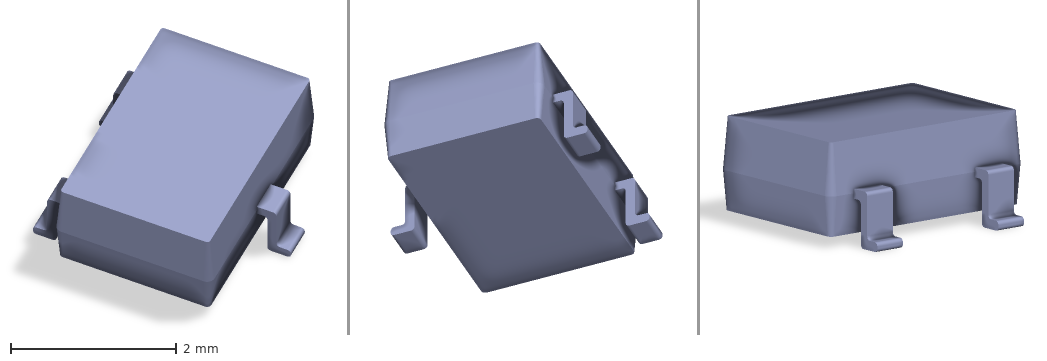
import cadquery as cq

BODY_WIDTH = 2.1
BODY_LENGTH = 3.04
BODY_BOTTOM = 0.152
PARTING_HEIGHT = 0.66
BODY_TOP = 1.32
DRAFT_ANGLE = 5.0
CORNER_RADIUS = 0.1

LEAD_SPAN = 3.0
LEAD_THICKNESS = 0.122
LEAD_WIDTH = 0.4
LEAD_PITCH = 1.9
LEAD_TOP = 0.715
FOOT_LENGTH = 0.19
BEND_RADIUS = 0.05
LEAD_EMBED = 0.06


def body_half(height):
    """Half of the body, tapering from the parting plane; negative height goes down."""
    outline = cq.Sketch().rect(BODY_WIDTH, BODY_LENGTH).vertices().fillet(CORNER_RADIUS)
    return (
        cq.Workplane("XY")
        .workplane(offset=PARTING_HEIGHT)
        .placeSketch(outline)
        .extrude(height, taper=DRAFT_ANGLE)
    )


def lead(side, y_center):
    """One bent lead; side is -1 for the -X side of the body and +1 for the +X side."""
    toe = LEAD_SPAN / 2
    leg_outer = toe - FOOT_LENGTH
    leg_inner = leg_outer - LEAD_THICKNESS
    root = BODY_WIDTH / 2 - LEAD_EMBED
    shoulder_bottom = LEAD_TOP - LEAD_THICKNESS

    profile = [
        (root, LEAD_TOP),
        (leg_outer, LEAD_TOP),
        (leg_outer, LEAD_THICKNESS),
        (toe, LEAD_THICKNESS),
        (toe, 0),
        (leg_inner, 0),
        (leg_inner, shoulder_bottom),
        (root, shoulder_bottom),
    ]
    strip = (
        cq.Workplane("XZ", origin=(0, y_center, 0))
        .polyline([(side * x, z) for x, z in profile])
        .close()
        .extrude(LEAD_WIDTH / 2, both=True)
    )
    root_end = ">X" if side < 0 else "<X"
    return strip.edges(f"|Y and (not {root_end})").fillet(BEND_RADIUS)


result = body_half(BODY_TOP - PARTING_HEIGHT).union(body_half(BODY_BOTTOM - PARTING_HEIGHT))

for side, y_center in [(-1, -LEAD_PITCH / 2), (-1, LEAD_PITCH / 2), (1, 0)]:
    result = result.union(lead(side, y_center))